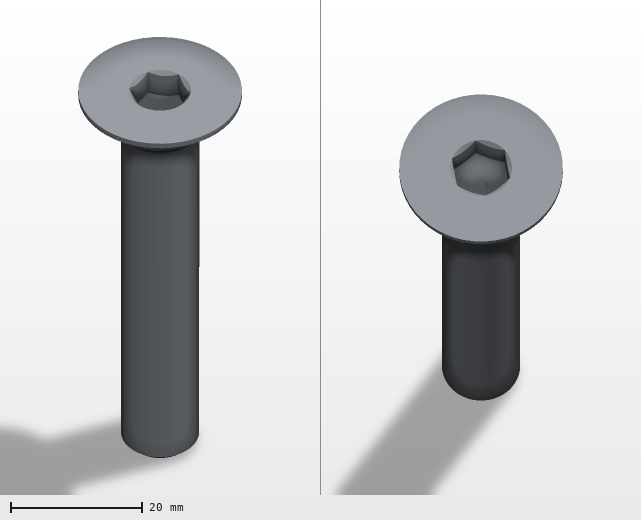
import cadquery as cq
import math

total_length = 70.0
head_diameter = 25.0
shank_diameter = 12.0
rim_height = 0.9
neck_radius = 0.55
tip_chamfer = 1.25

socket_flats = 8.2
socket_depth = 4.2
socket_floor_diameter = 1.5
floor_cone_half_angle = math.radians(60)

head_radius = head_diameter / 2
shank_radius = shank_diameter / 2
socket_corner_radius = socket_flats / math.sqrt(3)

rim_z = total_length - rim_height
neck_z = rim_z - (head_radius - shank_radius)


def make_body():
    """Head and shank as one revolved profile, with a rounded neck."""
    profile = (
        cq.Workplane("XZ")
        .polyline([
            (0, 0),
            (shank_radius - tip_chamfer, 0),
            (shank_radius, tip_chamfer),
            (shank_radius, neck_z),
            (head_radius, rim_z),
            (head_radius, total_length),
            (0, total_length),
        ])
        .close()
    )
    body = profile.revolve(360, (0, 0, 0), (0, 1, 0))
    neck_corner = cq.selectors.BoxSelector(
        (-head_radius, -head_radius, neck_z - neck_radius),
        (head_radius, head_radius, neck_z + neck_radius),
    )
    neck_edge = body.edges("%CIRCLE").edges(neck_corner)
    return neck_edge.fillet(neck_radius)


def make_socket():
    """Hex prism ending in a blunt cone, joined with its conical lead-in."""
    floor_radius = socket_floor_diameter / 2
    cone_height = (socket_corner_radius - floor_radius) / math.tan(floor_cone_half_angle)
    cone_start_z = total_length - socket_depth
    floor_z = cone_start_z - cone_height

    hexagon = (
        cq.Workplane("XY", origin=(0, 0, floor_z))
        .polygon(6, 2 * socket_corner_radius)
        .extrude(total_length - floor_z)
    )
    pointed_bore = (
        cq.Workplane("XZ")
        .polyline([
            (0, floor_z),
            (floor_radius, floor_z),
            (socket_corner_radius, cone_start_z),
            (socket_corner_radius, total_length),
            (0, total_length),
        ])
        .close()
        .revolve(360, (0, 0, 0), (0, 1, 0))
    )
    lead_in = (
        cq.Workplane("XZ")
        .polyline([
            (0, total_length),
            (socket_corner_radius, total_length),
            (0, total_length - socket_corner_radius),
        ])
        .close()
        .revolve(360, (0, 0, 0), (0, 1, 0))
    )
    return hexagon.intersect(pointed_bore).union(lead_in)


result = make_body().cut(make_socket())